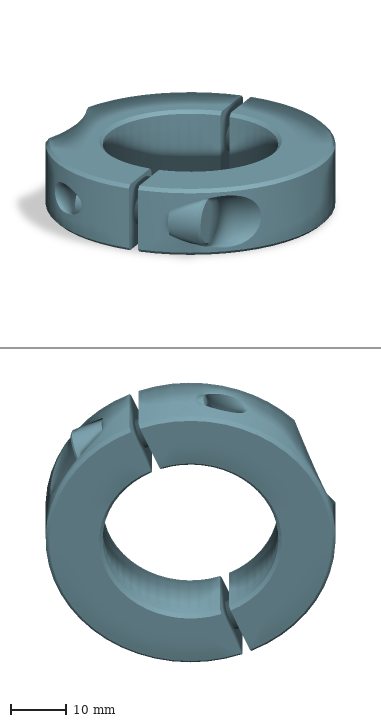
import cadquery as cq

outer_diameter = 52.45
bore_diameter = 31.8
width = 12.7
edge_chamfer = 0.65
split_gap = 1.8

screw_offset = 21.0
screw_diameter = 5.5
screw_tip_x = -12.55
head_diameter = 9.5
head_length = 6.25
head_chamfer = 0.4
head_pocket_diameter = 9.95
head_seat_x = 6.6

scoop_radius = 27.3
scoop_tilt = 19.3
scoop_bottom_height = 1.8

cutter_length = 2 * outer_diameter


def cylinder_along_x(diameter, start_x, length, y):
    """Cylinder parallel to X at mid-width, running toward +X from start_x."""
    return (
        cq.Workplane("YZ", origin=(start_x, y, 0))
        .circle(diameter / 2)
        .extrude(length)
    )


def make_ring():
    ring = (
        cq.Workplane("XY")
        .circle(outer_diameter / 2)
        .circle(bore_diameter / 2)
        .extrude(width / 2, both=True)
    )
    return ring.faces("|Z").edges().chamfer(edge_chamfer)


def make_scoop_cutter():
    """Tilted cylinder that just touches the outer wall near the bottom."""
    lowest_point = cq.Vector(-outer_diameter / 2, 0, scoop_bottom_height - width / 2)
    return (
        cq.Workplane("XY")
        .center(-scoop_radius, 0)
        .circle(scoop_radius)
        .extrude(cutter_length / 2, both=True)
        .rotate((0, 0, 0), (0, 1, 0), scoop_tilt)
        .translate(lowest_point)
    )


def make_screw(y):
    shank = cylinder_along_x(screw_diameter, screw_tip_x, head_seat_x - screw_tip_x, y)
    head = cylinder_along_x(head_diameter, head_seat_x, head_length, y)
    head = head.faces(">X").edges().chamfer(head_chamfer)
    return shank.union(head)


collar = make_ring().cut(make_scoop_cutter())
collar = collar.cut(cq.Workplane("XY").box(split_gap, cutter_length, cutter_length))

for side in (-1, 1):
    screw_y = side * screw_offset
    hole = cylinder_along_x(screw_diameter, -outer_diameter / 2, outer_diameter / 2 + head_seat_x, screw_y)
    pocket = cylinder_along_x(head_pocket_diameter, head_seat_x, outer_diameter / 2, screw_y)
    collar = collar.cut(hole).cut(pocket).union(make_screw(screw_y))

result = collar